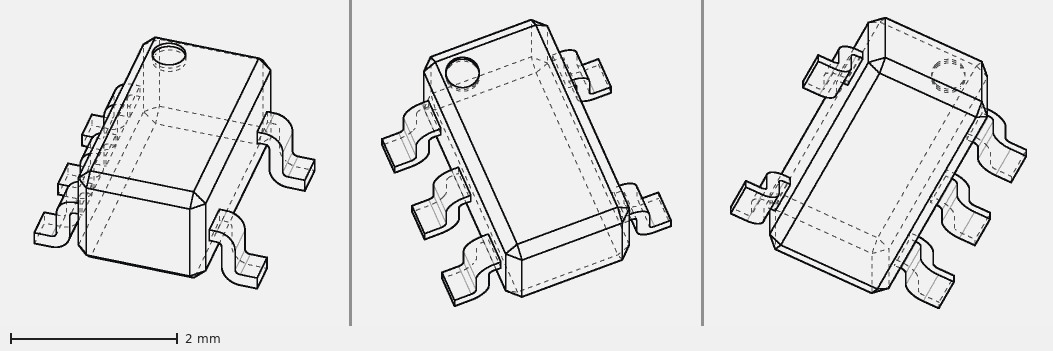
import cadquery as cq

LENGTH = 2.9
SPAN = 2.8
HEIGHT = 1.45

HOUSING_WIDTH = 1.6
STANDOFF = 0.1
CHAMFER = 0.15
HOUSING_HEIGHT = HEIGHT - STANDOFF

MARK_DIAMETER = 0.4
MARK_INSET = 0.4
MARK_SINK = 0.05
MARK_THICKNESS = 0.05
MARK_X = -HOUSING_WIDTH / 2 + MARK_INSET
MARK_Y = LENGTH / 2 - MARK_INSET
MARK_FLOOR = HEIGHT - MARK_SINK - MARK_THICKNESS

LEAD_WIDTH = 0.4
LEAD_PITCH = 0.95
LEAD_THICKNESS = 0.168
LEAD_TOP = 0.77
TIP_TO_RISER = 0.278
INNER_BEND = 0.065
OUTER_BEND = INNER_BEND + LEAD_THICKNESS
LEFT_ROWS = (-1, 0, 1)
RIGHT_ROWS = (-1, 1)


def make_housing():
    """Block with every edge chamfered and a round recess for the mark."""
    block = (
        cq.Workplane("XY")
        .workplane(offset=STANDOFF)
        .box(HOUSING_WIDTH, LENGTH, HOUSING_HEIGHT, centered=(True, True, False))
        .edges()
        .chamfer(CHAMFER)
    )
    recess = mark_cylinder(HEIGHT - MARK_FLOOR)
    return block.cut(recess)


def mark_cylinder(height):
    """Cylinder standing on the floor of the mark recess."""
    return (
        cq.Workplane("XY", origin=(MARK_X, MARK_Y, MARK_FLOOR))
        .circle(MARK_DIAMETER / 2)
        .extrude(height)
    )


def make_left_lead(y_center):
    """S-shaped lead that butts against the -X side of the housing."""
    tip = -SPAN / 2
    root = -HOUSING_WIDTH / 2
    riser_outer = tip + TIP_TO_RISER
    riser_inner = riser_outer + LEAD_THICKNESS
    foot_bend = riser_outer - INNER_BEND
    shoulder_bend = riser_inner + INNER_BEND
    foot_bend_z = OUTER_BEND
    shoulder_bend_z = LEAD_TOP - OUTER_BEND
    shoulder_bottom = LEAD_TOP - LEAD_THICKNESS

    return (
        cq.Workplane("XZ", origin=(0, y_center, 0))
        .moveTo(tip, 0)
        .lineTo(foot_bend, 0)
        .radiusArc((riser_inner, foot_bend_z), -OUTER_BEND)
        .lineTo(riser_inner, shoulder_bend_z)
        .radiusArc((shoulder_bend, shoulder_bottom), INNER_BEND)
        .lineTo(root, shoulder_bottom)
        .lineTo(root, LEAD_TOP)
        .lineTo(shoulder_bend, LEAD_TOP)
        .radiusArc((riser_outer, shoulder_bend_z), -OUTER_BEND)
        .lineTo(riser_outer, foot_bend_z)
        .radiusArc((foot_bend, LEAD_THICKNESS), INNER_BEND)
        .lineTo(tip, LEAD_THICKNESS)
        .close()
        .extrude(LEAD_WIDTH / 2, both=True)
    )


def make_right_lead(y_center):
    """Mirror image of a left lead, on the +X side."""
    return make_left_lead(y_center).mirror("YZ")


housing = make_housing()
pin_one_mark = mark_cylinder(MARK_THICKNESS)
leads = [make_left_lead(row * LEAD_PITCH) for row in LEFT_ROWS]
leads += [make_right_lead(row * LEAD_PITCH) for row in RIGHT_ROWS]

result = cq.Compound.makeCompound(
    [housing.val(), pin_one_mark.val(), *[lead.val() for lead in leads]]
)